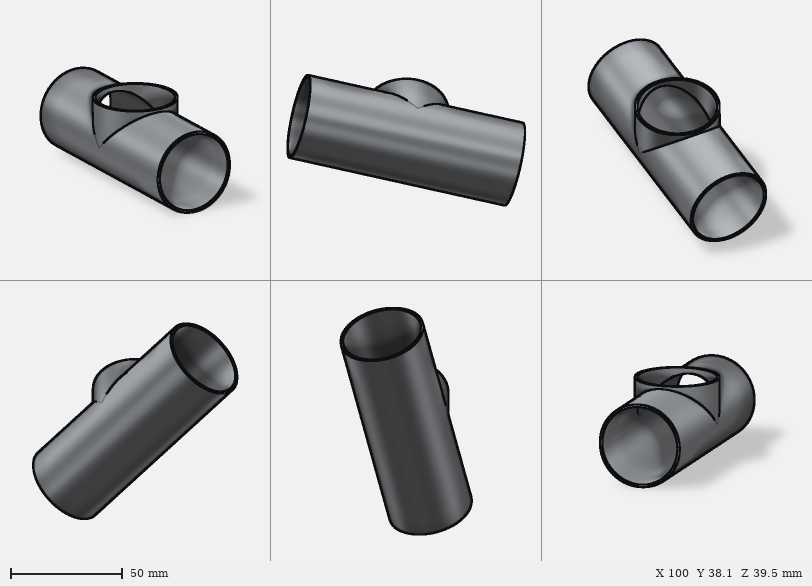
import cadquery as cq

run_length = 100.0
outer_diameter = 38.1
bore_diameter = 35.7
overall_height = 39.5

branch_height = overall_height - outer_diameter / 2


def run_cylinder(diameter):
    return cq.Workplane("YZ").circle(diameter / 2).extrude(run_length / 2, both=True)


def branch_cylinder(diameter):
    return cq.Workplane("XY").circle(diameter / 2).extrude(branch_height)


body = run_cylinder(outer_diameter).union(branch_cylinder(outer_diameter))
bore = run_cylinder(bore_diameter).union(branch_cylinder(bore_diameter))

result = body.cut(bore)